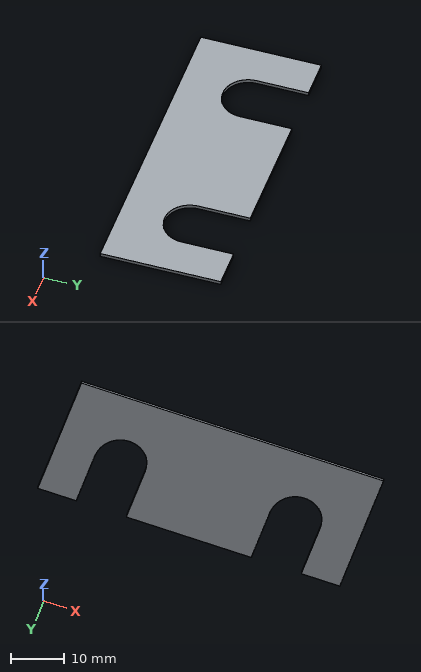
import cadquery as cq

length = 60.45
width = 23.9
thickness = 0.8

slot_width = 10.0
slot_spacing = 35.0
slot_depth = 15.3

slot_radius = slot_width / 2
back_edge = width / 2
slot_centre_y = back_edge - slot_depth + slot_radius


def slot_cutter(centre_x):
    """Solid that removes one slot through the full plate thickness."""
    return (
        cq.Workplane("XY")
        .moveTo(centre_x - slot_radius, back_edge)
        .lineTo(centre_x - slot_radius, slot_centre_y)
        .threePointArc(
            (centre_x, slot_centre_y - slot_radius),
            (centre_x + slot_radius, slot_centre_y),
        )
        .lineTo(centre_x + slot_radius, back_edge)
        .close()
        .extrude(thickness)
    )


result = cq.Workplane("XY").box(length, width, thickness, centered=(True, True, False))
for side in (-1, 1):
    result = result.cut(slot_cutter(side * slot_spacing / 2))